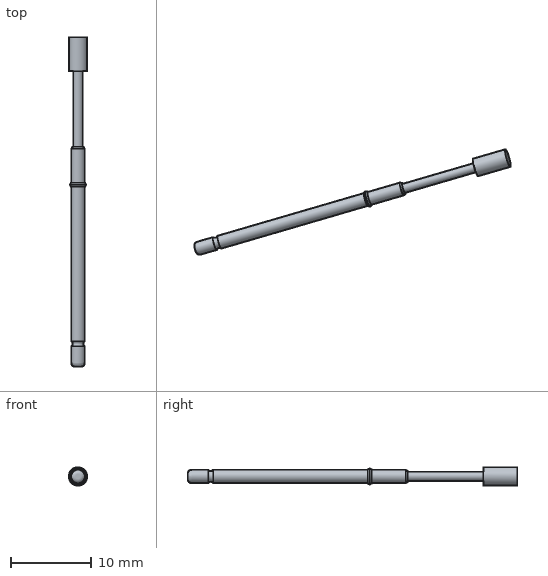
import cadquery as cq

total_length = 41.0

head_diameter = 2.3
head_length = 4.22
rod_diameter = 1.2

barrel_diameter = 1.7
barrel_length = 27.35
mouth_taper_length = 0.25
mouth_taper_depth = 0.12
tail_fillet = 0.5

ring_diameter = 2.0
ring_width = 0.5
ring_shoulder_height = 0.05
ring_center = 22.65

groove_width = 0.6
groove_depth = 0.15
groove_center = 2.85

head_start = total_length - head_length
mouth_start = barrel_length - mouth_taper_length
ring_start = ring_center - ring_width / 2
ring_end = ring_center + ring_width / 2
groove_start = groove_center - groove_width / 2
groove_end = groove_center + groove_width / 2

head_radius = head_diameter / 2
rod_radius = rod_diameter / 2
barrel_radius = barrel_diameter / 2
mouth_radius = barrel_radius - mouth_taper_depth
ring_crest_radius = ring_diameter / 2
ring_shoulder_radius = barrel_radius + ring_shoulder_height
groove_floor_radius = barrel_radius - groove_depth

half_profile = (
    cq.Workplane("XY")
    .lineTo(barrel_radius - tail_fillet, 0)
    .tangentArcPoint((barrel_radius, tail_fillet), relative=False)
    .lineTo(barrel_radius, groove_start)
    .threePointArc((groove_floor_radius, groove_center), (barrel_radius, groove_end))
    .lineTo(barrel_radius, ring_start)
    .lineTo(ring_shoulder_radius, ring_start)
    .lineTo(ring_crest_radius, ring_center)
    .lineTo(ring_shoulder_radius, ring_end)
    .lineTo(barrel_radius, ring_end)
    .lineTo(barrel_radius, mouth_start)
    .lineTo(mouth_radius, barrel_length)
    .lineTo(rod_radius, barrel_length)
    .lineTo(rod_radius, head_start)
    .lineTo(head_radius, head_start)
    .lineTo(head_radius, total_length)
    .lineTo(0, total_length)
    .close()
)

result = half_profile.revolve(360, (0, 0, 0), (0, 1, 0))